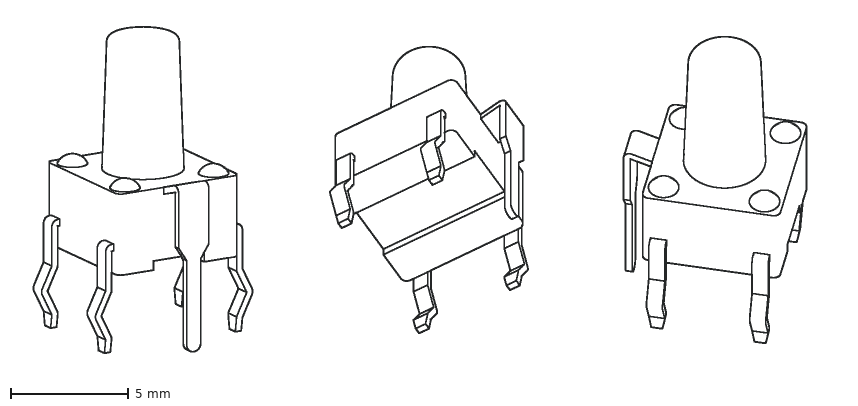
import cadquery as cq
import math

total_height = 13.0

body_side = 6.0
body_bottom = 3.5
body_top = 7.1
body_corner_radius = 0.3
notch_width = 2.5
notch_height = 0.4

plunger_base_radius = 1.75
plunger_top_radius = 1.56
plunger_edge_radius = 0.3

dome_radius = 0.65
dome_height = 0.4
dome_offset = 2.2

sheet = 0.3

leg_width = 0.7
leg_tip_width = 0.5
leg_spacing = 4.5
leg_outer_y = 3.39
leg_reach_y = 3.9
leg_top = 4.81
leg_knee_z = 1.7
leg_knee_half_height = 1.01

tab_outer_x = 4.25
tab_wide = 1.5
tab_narrow = 0.7
tab_root_z = 6.8
tab_bend_z = 7.1
tab_taper_top = 4.69
tab_taper_bottom = 4.1

half_side = body_side / 2


def make_housing():
    """Square block with rounded corners and a notch along X through the underside."""
    height = body_top - body_bottom
    block = (
        cq.Workplane("XY", origin=(0, 0, body_bottom))
        .rect(body_side, body_side)
        .extrude(height)
        .edges("|Z")
        .fillet(body_corner_radius)
    )
    notch = (
        cq.Workplane("XY", origin=(0, 0, body_bottom))
        .rect(body_side, notch_width)
        .extrude(notch_height)
    )
    return block.cut(notch)


def make_plunger():
    """Tapered round plunger with a rounded top edge."""
    edge_z = total_height - plunger_edge_radius
    diagonal = plunger_edge_radius * math.sqrt(0.5)
    flat_radius = plunger_top_radius - plunger_edge_radius
    return (
        cq.Workplane("XZ")
        .moveTo(0, body_top)
        .lineTo(plunger_base_radius, body_top)
        .lineTo(plunger_top_radius, edge_z)
        .threePointArc((flat_radius + diagonal, edge_z + diagonal), (flat_radius, total_height))
        .lineTo(0, total_height)
        .close()
        .revolve(360, (0, 0, 0), (0, 1, 0))
    )


def make_dome():
    """Spherical cap standing on the housing top at the origin of X and Y."""
    sphere_radius = (dome_radius**2 + dome_height**2) / (2 * dome_height)
    middle_angle = math.asin(dome_radius / sphere_radius) / 2
    sphere_z = body_top + dome_height - sphere_radius
    middle = (
        sphere_radius * math.sin(middle_angle),
        sphere_z + sphere_radius * math.cos(middle_angle),
    )
    return (
        cq.Workplane("XZ")
        .moveTo(0, body_top)
        .lineTo(dome_radius, body_top)
        .threePointArc(middle, (0, body_top + dome_height))
        .close()
        .revolve(360, (0, 0, 0), (0, 1, 0))
    )


def make_leg():
    """Leg on the +Y side: folded down from the housing, kinked outward, with a tapered tip."""
    inner_y = leg_outer_y - sheet
    knee_y = leg_reach_y - sheet
    fold_z = leg_top - sheet
    slant = math.atan2(knee_y - inner_y, leg_knee_half_height)
    miter = sheet * math.tan(slant / 2)
    upper_z = leg_knee_z + leg_knee_half_height
    lower_z = leg_knee_z - leg_knee_half_height
    tip_height = lower_z - miter
    arc_y = knee_y + sheet * math.cos(slant)
    arc_rise = sheet * math.sin(slant)
    diagonal = sheet * math.sqrt(0.5)

    strip = (
        cq.Workplane("YZ")
        .moveTo(half_side, leg_top)
        .lineTo(inner_y, leg_top)
        .threePointArc((inner_y + diagonal, fold_z + diagonal), (leg_outer_y, fold_z))
        .lineTo(leg_outer_y, upper_z + miter)
        .lineTo(arc_y, leg_knee_z + arc_rise)
        .threePointArc((leg_reach_y, leg_knee_z), (arc_y, leg_knee_z - arc_rise))
        .lineTo(leg_outer_y, tip_height)
        .lineTo(leg_outer_y, 0)
        .lineTo(inner_y, 0)
        .lineTo(inner_y, lower_z)
        .lineTo(knee_y, leg_knee_z)
        .lineTo(inner_y, upper_z)
        .lineTo(inner_y, fold_z)
        .lineTo(half_side, fold_z)
        .close()
        .extrude(leg_width / 2, both=True)
    )
    outline = (
        cq.Workplane("XZ")
        .moveTo(-leg_tip_width / 2, 0)
        .lineTo(leg_tip_width / 2, 0)
        .lineTo(leg_width / 2, tip_height)
        .lineTo(leg_width / 2, leg_top)
        .lineTo(-leg_width / 2, leg_top)
        .lineTo(-leg_width / 2, tip_height)
        .close()
        .extrude(-leg_reach_y)
    )
    return strip.intersect(outline)


def make_tab():
    """Grounding tab on the +X side: rises from the housing, folds down and narrows to a round end."""
    inner_x = tab_outer_x - sheet
    slope = math.atan2(tab_bend_z - tab_root_z, inner_x - half_side)
    root_top_z = tab_root_z + sheet / math.cos(slope)
    arc_start = (inner_x - sheet * math.sin(slope), tab_bend_z + sheet * math.cos(slope))
    arc_middle = (inner_x + sheet * math.sqrt(0.5), tab_bend_z + sheet * math.sqrt(0.5))

    strip = (
        cq.Workplane("XZ")
        .moveTo(half_side, tab_root_z)
        .lineTo(half_side, root_top_z)
        .lineTo(*arc_start)
        .threePointArc(arc_middle, (tab_outer_x, tab_bend_z))
        .lineTo(tab_outer_x, 0)
        .lineTo(inner_x, 0)
        .lineTo(inner_x, tab_bend_z)
        .close()
        .extrude(tab_wide / 2, both=True)
    )
    end_radius = tab_narrow / 2
    outline = (
        cq.Workplane("YZ")
        .moveTo(-end_radius, end_radius)
        .threePointArc((0, 0), (end_radius, end_radius))
        .lineTo(end_radius, tab_taper_bottom)
        .lineTo(tab_wide / 2, tab_taper_top)
        .lineTo(tab_wide / 2, total_height)
        .lineTo(-tab_wide / 2, total_height)
        .lineTo(-tab_wide / 2, tab_taper_top)
        .lineTo(-end_radius, tab_taper_bottom)
        .close()
        .extrude(tab_outer_x)
    )
    return strip.intersect(outline)


result = make_housing().union(make_plunger()).union(make_tab())

dome = make_dome()
leg = make_leg()
mirrored_leg = leg.mirror("XZ")
for x_side in (-1, 1):
    leg_x = x_side * leg_spacing / 2
    result = result.union(leg.translate((leg_x, 0, 0)))
    result = result.union(mirrored_leg.translate((leg_x, 0, 0)))
    for y_side in (-1, 1):
        result = result.union(dome.translate((x_side * dome_offset, y_side * dome_offset, 0)))